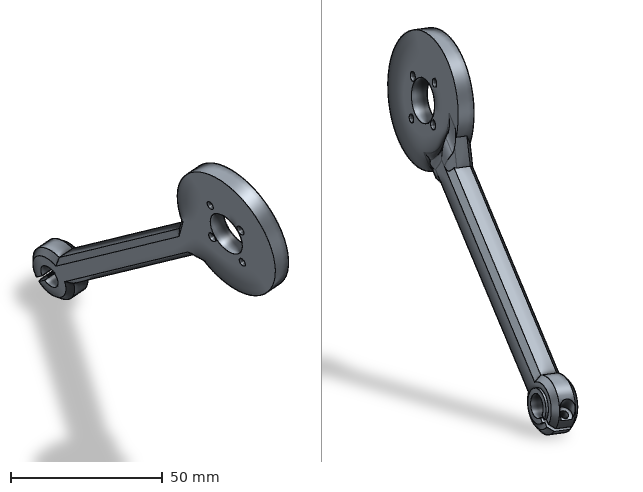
import cadquery as cq
import math

axis_distance = 120.0
disc_radius = 23.5
disc_thickness = 6.0
arm_width = 10.0
arm_thickness = 10.1
arm_chamfer = 2.0

clamp_radius = 10.0
shaft_diameter = 8.3
boss_diameter = 12.1
overall_thickness = 11.0
slot_width = 1.7
screw_offset = 6.9
screw_diameter = 3.0
screw_head_diameter = 5.8
screw_seat_height = 4.1

center_hole_diameter = 15.4
bolt_pairs = [(9.6, 3.3, 0), (10.9, 3.0, 90)]

flare_start = 29.7
flare_end = 11.8
flare_angle = 32.0
flare_fillet = 3.0

ramp_top_radius = 25.0
ramp_convex_radius = 6.0
end_concave_radius = 3.0
side_concave_radius = 6.0


def make_clamp():
    clamp = cq.Workplane("XY").circle(clamp_radius).extrude(arm_thickness)
    return clamp.faces("<Z or >Z").chamfer(arm_chamfer)


def make_arm():
    length = axis_distance - flare_end
    arm = cq.Workplane("XY").box(length, arm_width, arm_thickness, centered=(False, True, False))
    return arm.edges("|X").chamfer(arm_chamfer)


def make_flare():
    """Widening neck, chamfered along the front and rounded along the back."""
    start = axis_distance - flare_start
    end = axis_distance - flare_end
    start_half = arm_width / 2
    end_half = start_half + (end - start) * math.tan(math.radians(flare_angle))
    outline = [(start, -start_half), (end, -end_half), (end, end_half), (start, start_half)]
    flare = cq.Workplane("XY").polyline(outline).close().extrude(arm_thickness)
    flare = flare.faces("<Z").edges("not |Y").chamfer(arm_chamfer)
    return flare.faces(">Z").edges("not |Y").fillet(flare_fillet)


def ramp_point(center, radius, angle):
    return (center[0] + radius * math.cos(angle), center[1] + radius * math.sin(angle))


def make_ramp_profile(plane, top, outer, concave_radius):
    """Space over a ramp that starts at the back face and falls to the disc.

    The first coordinate runs across the ramp: `top` is where the ramp begins and
    `outer` is the far limit of the open space. A convex arc, tangent to the back
    face, flows into a concave arc, tangent to the disc.
    """
    side = math.copysign(1, outer - top)
    convex_z = arm_thickness - ramp_convex_radius
    concave_z = disc_thickness + concave_radius
    center_gap = ramp_convex_radius + concave_radius
    slope = math.asin((concave_z - convex_z) / center_gap)
    reach = center_gap * math.cos(slope)

    convex_mid = ramp_point((0, convex_z), ramp_convex_radius, (math.pi / 2 + slope) / 2)
    joint = ramp_point((0, convex_z), ramp_convex_radius, slope)
    concave_mid = ramp_point((reach, concave_z), concave_radius, math.pi + (math.pi / 2 + slope) / 2)

    def place(point):
        return (top + side * point[0], point[1])

    return (
        cq.Workplane(plane)
        .moveTo(top, arm_thickness)
        .threePointArc(place(convex_mid), place(joint))
        .threePointArc(place(concave_mid), place((reach, disc_thickness)))
        .lineTo(outer, disc_thickness)
        .lineTo(outer, arm_thickness)
        .close()
    )


def make_end_ramp_cut():
    profile = make_ramp_profile("XZ", ramp_top_radius, 0, end_concave_radius)
    return profile.revolve(360, (0, 0, 0), (0, 1, 0)).translate((axis_distance, 0, 0))


def make_side_ramp_cut(side):
    """Ramp along one side of the neck (side is +1 or -1)."""
    edge = arm_width / 2 - arm_chamfer
    profile = make_ramp_profile("YZ", side * edge, side * disc_radius, side_concave_radius)
    return profile.extrude(flare_start - flare_end).translate((axis_distance - flare_start, 0, 0))


def make_screw_hole():
    """Clamping screw across the slot, with its head sunk from the +Y side."""
    plane = cq.Workplane("XZ", origin=(-screw_offset, screw_seat_height, arm_thickness / 2))
    shank = plane.circle(screw_diameter / 2).extrude(2 * clamp_radius)
    head = plane.circle(screw_head_diameter / 2).extrude(-clamp_radius)
    return shank.union(head)


def make_disc_holes():
    holes = cq.Workplane("XY").circle(center_hole_diameter / 2).extrude(disc_thickness)
    for radius, diameter, angle in bolt_pairs:
        pair = cq.Workplane("XY").polarArray(radius, angle, 360, 2).circle(diameter / 2)
        holes = holes.union(pair.extrude(disc_thickness))
    return holes.translate((axis_distance, 0, 0))


disc = cq.Workplane("XY").center(axis_distance, 0).circle(disc_radius).extrude(disc_thickness)
boss = cq.Workplane("XY").circle(boss_diameter / 2).extrude(overall_thickness)
shaft_hole = cq.Workplane("XY").circle(shaft_diameter / 2).extrude(overall_thickness)
slot = cq.Workplane("XY").box(
    2 * clamp_radius, slot_width, overall_thickness, centered=(False, True, False)
).translate((-2 * clamp_radius, 0, 0))

neck = make_arm().union(make_flare()).cut(make_end_ramp_cut())
for side in (-1, 1):
    neck = neck.cut(make_side_ramp_cut(side))
body = neck.union(disc)
body = body.union(make_clamp()).union(boss)
for cutter in (shaft_hole, slot, make_screw_hole(), make_disc_holes()):
    body = body.cut(cutter)

result = body.mirror("XY").rotate((0, 0, 0), (1, 0, 0), 90).rotate((0, 0, 0), (0, 1, 0), -45)